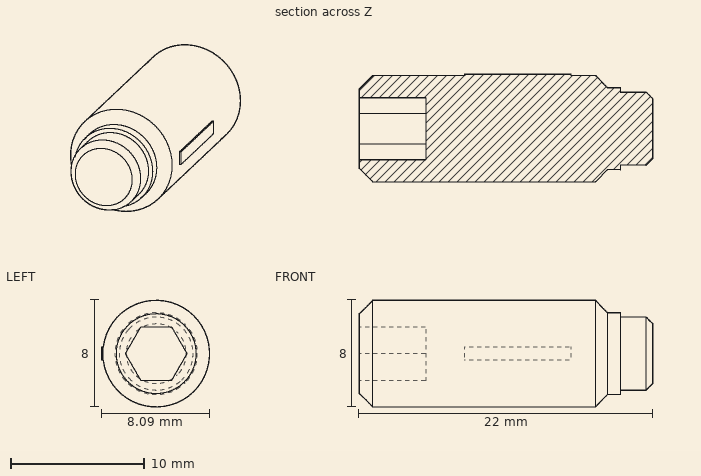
import cadquery as cq
import math

length = 22.0
body_diameter = 8.0

socket_end_chamfer = 1.01
tip_chamfer = 0.5

collar_diameter = 6.15
collar_length = 1.0
shoulder_length = 0.88
pin_diameter = 5.5
pin_length = 2.42

socket_across_flats = 4.0
socket_depth = 5.0

strip_start = 7.9
strip_length = 7.99
strip_width = 1.0
strip_height = 0.09

body_radius = body_diameter / 2
collar_radius = collar_diameter / 2
pin_radius = pin_diameter / 2
collar_end = length - pin_length
collar_start = collar_end - collar_length
socket_across_corners = socket_across_flats / math.cos(math.radians(30))
shoulder_start = collar_start - shoulder_length


def turned_body():
    """Stepped screw body, revolved about the X axis."""
    half_profile = [
        (0, 0),
        (0, body_radius - socket_end_chamfer),
        (socket_end_chamfer, body_radius),
        (shoulder_start, body_radius),
        (collar_start, collar_radius),
        (collar_end, collar_radius),
        (collar_end, pin_radius),
        (length - tip_chamfer, pin_radius),
        (length, pin_radius - tip_chamfer),
        (length, 0),
    ]
    return cq.Workplane("XY").polyline(half_profile).close().revolve(360, (0, 0, 0), (1, 0, 0))


def hexagon_socket():
    """Blind hexagon along X, with two flats facing up and down."""
    return cq.Workplane("YZ").polygon(6, socket_across_corners).extrude(socket_depth)


def side_strip():
    """Rectangular strip, sunk halfway to the axis so that it joins the curved body."""
    root_y = body_radius / 2
    strip_depth = body_radius + strip_height - root_y
    return (
        cq.Workplane("XY")
        .box(strip_length, strip_depth, strip_width, centered=(False, False, True))
        .translate((strip_start, root_y, 0))
    )


result = turned_body().union(side_strip()).cut(hexagon_socket())